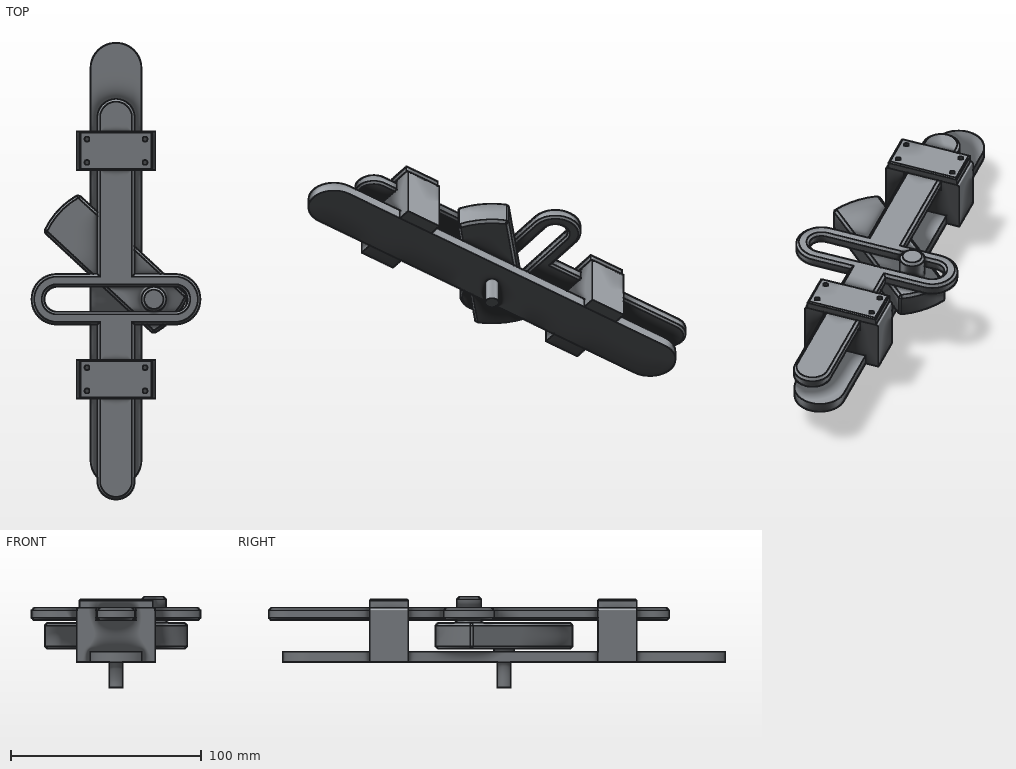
import cadquery as cq
import math


base_top = 5.5
crank_bottom = 7.0
crank_top = 20.5
yoke_bottom = 22.0
yoke_top = 28.5
cap_top = 32.8
pin_top = 34.2
shaft_bottom = -13.5

edge_chamfer = 1.5

base_length = 231.9
base_width = 26.8

crank_width = 26.8
crank_end_radius = 41.5
crank_corner_chamfer = 1.0
crank_radius = 27.0
crank_angle = -42.9
shaft_diameter = 7.2

washer_diameter = 10.8

pin_diameter = 13.0

yoke_length = 209.9
bar_width = 19.6
head_length = 88.5
head_width = 26.5
yoke_bottom_chamfer = 1.2
slot_width = pin_diameter
slot_length = head_length - head_width + slot_width

guide_spacing = 119.6
guide_offset = -0.5
guide_width = 41.2
guide_length = 20.3
channel_width = 20.8
cap_width = guide_width - 2 * edge_chamfer
cap_chamfer = 0.7
screw_hole_diameter = 2.6
screw_spacing_x = 30.5
screw_spacing_y = 12.2

pin_y = crank_radius * math.sin(math.radians(crank_angle))
guide_places = [guide_offset - guide_spacing / 2, guide_offset + guide_spacing / 2]


def cylinder(diameter, bottom, top):
    return cq.Workplane("XY").workplane(offset=bottom).circle(diameter / 2).extrude(top - bottom)


def make_base():
    """Round-ended plate with a hole for the crank shaft."""
    plate = cq.Workplane("XY").slot2D(base_length, base_width, 90).extrude(base_top)
    return plate.cut(cylinder(shaft_diameter, 0, base_top))


def make_guide(y):
    """Block straddling the base, with a channel in its top for the yoke bar."""
    block = cq.Workplane("XY").box(guide_width, guide_length, yoke_top, centered=(True, True, False))
    block = block.edges("|Y and >Z").fillet(edge_chamfer)
    base_notch = cq.Workplane("XY").box(base_width, guide_length, base_top, centered=(True, True, False))
    channel = (
        cq.Workplane("XY")
        .workplane(offset=yoke_bottom)
        .rect(channel_width, guide_length)
        .extrude(yoke_top - yoke_bottom)
    )
    return block.cut(base_notch).cut(channel).translate((0, y, 0))


def make_cap(y):
    """Plate that closes the yoke channel of a guide, with four screw holes."""
    plate = cq.Workplane("XY").rect(cap_width, guide_length).extrude(cap_top - yoke_top)
    plate = plate.faces(">Z").chamfer(cap_chamfer)
    holes = (
        cq.Workplane("XY")
        .rect(screw_spacing_x, screw_spacing_y, forConstruction=True)
        .vertices()
        .circle(screw_hole_diameter / 2)
        .extrude(cap_top - yoke_top)
    )
    return plate.cut(holes).translate((0, y, yoke_top))


def make_yoke():
    """Sliding bar with a slotted cross head."""
    thickness = yoke_top - yoke_bottom
    bar = cq.Workplane("XY").slot2D(yoke_length, bar_width, 90).extrude(thickness)
    head = cq.Workplane("XY").slot2D(head_length, head_width).extrude(thickness)
    slot = cq.Workplane("XY").slot2D(slot_length, slot_width).extrude(thickness)
    yoke = bar.union(head).cut(slot)
    yoke = yoke.faces(">Z").chamfer(edge_chamfer).faces("<Z").chamfer(yoke_bottom_chamfer)
    return yoke.translate((0, pin_y, yoke_bottom))


def make_pin():
    """Crank pin with a chamfered tip and a hollow-rounded foot where it meets the arm."""
    radius = pin_diameter / 2
    profile = (
        cq.Workplane("XZ")
        .moveTo(0, crank_top)
        .lineTo(radius + edge_chamfer, crank_top)
        .radiusArc((radius, crank_top + edge_chamfer), edge_chamfer)
        .lineTo(radius, pin_top - edge_chamfer)
        .lineTo(radius - edge_chamfer, pin_top)
        .lineTo(0, pin_top)
        .close()
    )
    return profile.revolve(360, (0, 0), (0, 1))


def make_crank():
    """Arm with rounded ends, one piece with its shaft and pin."""
    thickness = crank_top - crank_bottom
    arm = (
        cylinder(2 * crank_end_radius, crank_bottom, crank_top)
        .intersect(
            cq.Workplane("XY")
            .workplane(offset=crank_bottom)
            .rect(2 * crank_end_radius, crank_width)
            .extrude(thickness)
        )
        .edges("|Z")
        .chamfer(crank_corner_chamfer)
        .faces("<Z or >Z")
        .chamfer(edge_chamfer)
    )
    shaft = cylinder(shaft_diameter, shaft_bottom, crank_bottom)
    pin = make_pin().translate((crank_radius, 0, 0))
    return arm.union(shaft).union(pin).rotate((0, 0, 0), (0, 0, 1), crank_angle)


def make_washer():
    """Spacer around the shaft that holds the crank off the base."""
    shaft_hole = cylinder(shaft_diameter, base_top, crank_bottom)
    return cylinder(washer_diameter, base_top, crank_bottom).cut(shaft_hole)


base = make_base()
guides = [make_guide(y) for y in guide_places]
caps = [make_cap(y) for y in guide_places]
yoke = make_yoke()
crank = make_crank()
washer = make_washer()

result = cq.Compound.makeCompound(
    [
        base.val(),
        *[guide.val() for guide in guides],
        *[cap.val() for cap in caps],
        yoke.val(),
        crank.val(),
        washer.val(),
    ]
)